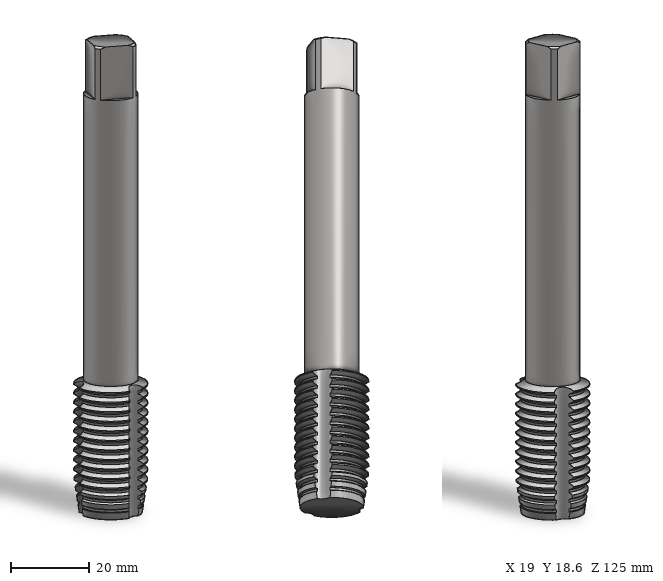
import cadquery as cq
import math

total_length = 125.0

major_diameter = 19.0
threads_per_diameter = 7.5
head_length = 35.1
top_crest_z = 34.0
groove_count = 13
tip_radius = 8.1
taper_length = 9.0

pitch = major_diameter / threads_per_diameter
crest_width = pitch / 8
root_width = pitch / 4
flank_half_angle = math.radians(30)
groove_width = pitch - crest_width
thread_depth = (groove_width - root_width) / 2 / math.tan(flank_half_angle)
major_radius = major_diameter / 2
root_radius = major_radius - thread_depth

flute_count = 3
first_flute_angle = -90.0
flute_radius = 2.8
flute_center_radius = 10.1

shank_radius = 7.0
square_width = 11.0
square_length = 14.0
end_chamfer_width = 0.8
end_chamfer_height = 0.5


def revolve_profile(points):
    """Turn a closed (radius, height) outline around the Z axis."""
    return cq.Workplane("XZ").polyline(points).close().revolve(360, (0, 0, 0), (0, 1, 0))


def make_head_blank():
    """Cylinder with a tapered tip and a shallow cone from the shank down to the top crest."""
    return revolve_profile([
        (0, 0),
        (tip_radius, 0),
        (major_radius, taper_length),
        (major_radius, top_crest_z + crest_width / 2),
        (shank_radius, head_length),
        (0, head_length),
    ])


def make_groove(middle_z):
    """Ring with the shape of one thread groove, open at the major diameter."""
    return revolve_profile([
        (root_radius, middle_z - root_width / 2),
        (major_radius, middle_z - groove_width / 2),
        (major_radius, middle_z + groove_width / 2),
        (root_radius, middle_z + root_width / 2),
    ])


def make_flutes():
    """Round rods that cut the straight flutes along the whole thread body."""
    return (
        cq.Workplane("XY")
        .polarArray(flute_center_radius, first_flute_angle, 360, flute_count)
        .circle(flute_radius)
        .extrude(head_length)
    )


def make_thread_body():
    """Fluted head whose thread is a row of ring grooves."""
    body = make_head_blank()
    for index in range(groove_count):
        body = body.cut(make_groove(top_crest_z - (index + 0.5) * pitch))
    return body.cut(make_flutes())


def make_shank():
    """Round shank with a chamfered driving square at its end."""
    square_z = total_length - square_length
    round_bar = revolve_profile([
        (0, head_length),
        (shank_radius, head_length),
        (shank_radius, total_length - end_chamfer_height),
        (shank_radius - end_chamfer_width, total_length),
        (0, total_length),
    ])
    frame = (
        cq.Workplane("XY", origin=(0, 0, square_z))
        .rect(2 * square_width, 2 * square_width)
        .rect(square_width, square_width)
        .extrude(square_length)
    )
    return round_bar.cut(frame)


thread_body = make_thread_body()
shank = make_shank()

result = cq.Compound.makeCompound([thread_body.val(), shank.val()])